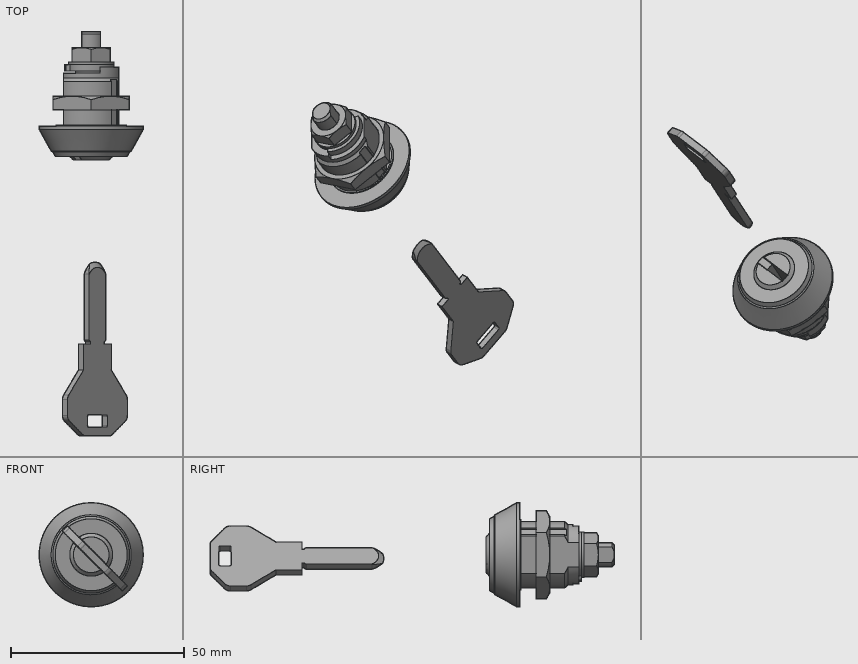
import cadquery as cq
import math

TURN = 45.0
HEX_HALF_ANGLE = 30.0

stud_end = 27.2
small_nut_top = 22.5
washer_top = 18.5
stop_top = 17.7
stop_bottom = 15.8
block_top = 17.0
barrel_top = 15.2
neck_start = 13.8
thread_end = 12.9
big_nut_bottom = 4.6
big_nut_top = 8.6
bead_top = 0.3
gasket_bottom = -0.9
bevel_back = -7.2
bevel_front = -7.4
flange_face = -8.7
plug_face = -9.8

rim_radius = 15.0
cone_end_radius = 11.5
bevel_radius = 11.0
face_radius = 10.3
bead_radius = 10.1
thread_radius = 19.2 / 2
neck_radius = 8.7
barrel_flat = 15.9 / 2
groove_width = 2.5
groove_floor = 9.1
block_side = 2.5

plug_radius = 6.2
plug_face_radius = 5.1
shaft_radius = 4.5
stud_radius = 3.5
stud_flat = 5.5 / 2
stud_chamfer = 0.7
keyhole_depth = 22.1
key_clearance = 0.1

washer_radius = 13.1 / 2
lug_radius = 7.7
lug_side = block_side
small_nut_flat = 11.0 / 2
big_nut_flat = 22.0 / 2
nut_chamfer_angle = 30.0

key_length = 50.0
key_gap = 29.3
key_offset = 1.5
key_thickness = 2.1
blade_half = 3.4
tip_half = 1.9
tip_length = 2.8
tip_fillet = 2.3
relief_half = 2.8
relief_start = 22.4
relief_full = 23.0
shoulder_start = 23.5
shoulder_half = 5.7
shoulder_end = 31.0
bow_half = 12.2
bow_start = 38.8
bow_end = 45.1
bow_base_half = 5.5
bow_fillet = 2.0
tip_edge_radius = 5.3
tip_face_radius = 3.8
ring_hole_start = 43.9
ring_hole_length = 3.5
ring_hole_width = 8.0
ring_hole_fillet = 0.5


def cylinder(radius, y_start, y_end):
    return cq.Workplane("XZ", origin=(0, y_start, 0)).circle(radius).extrude(y_start - y_end)


def block(x_range, y_range, z_range):
    """Box between the given limits."""
    corner = (x_range[0], y_range[0], z_range[0])
    size = (x_range[1] - x_range[0], y_range[1] - y_range[0], z_range[1] - z_range[0])
    return cq.Workplane("XY").box(*size, centered=False).translate(corner)


def turned(points):
    """Solid of revolution about Y from (radius, y) points."""
    return cq.Workplane("XY").polyline(points).close().revolve(360, (0, 0), (0, 1))


def roll(body, angle):
    return body.rotate((0, 0, 0), (0, 1, 0), angle)


def double_d(y_start, y_end):
    """Stud section: a cylinder with a flat on each X side."""
    flats = block((-stud_flat, stud_flat), (y_start, y_end), (-stud_radius, stud_radius))
    return cylinder(stud_radius, y_start, y_end).intersect(flats)


def hex_nut(flat, bore_radius, y_start, y_end):
    """Hex nut with flats facing X, chamfered on its +Y end."""
    corner = flat / math.cos(math.radians(HEX_HALF_ANGLE))
    chamfer_height = (corner - flat) * math.tan(math.radians(nut_chamfer_angle))
    prism = cq.Workplane("XZ", origin=(0, y_start, 0)).polygon(6, 2 * corner).extrude(y_start - y_end)
    envelope = turned([
        (0, y_start),
        (corner, y_start),
        (corner, y_end - chamfer_height),
        (flat, y_end),
        (0, y_end),
    ])
    nut = roll(prism, HEX_HALF_ANGLE).intersect(envelope)
    return nut.cut(cylinder(bore_radius, y_start, y_end))


def make_housing():
    """Conical flange and threaded barrel in one piece, bored for the plug."""
    body = turned([
        (0, flange_face),
        (face_radius, flange_face),
        (bevel_radius, bevel_front),
        (cone_end_radius, bevel_back),
        (rim_radius, gasket_bottom),
        (thread_radius, gasket_bottom),
        (thread_radius, thread_end),
        (neck_radius, neck_start),
        (neck_radius, block_top),
        (0, block_top),
    ])

    reach = thread_radius
    body = body.cut(block((-reach, block_side), (barrel_top, block_top), (-reach, reach)))

    for side in (0, 180):
        flat_cut = block((barrel_flat, rim_radius), (bead_top, block_top), (-reach, reach))
        groove = block((groove_floor, rim_radius), (bead_top, block_top),
                       (-groove_width / 2, groove_width / 2))
        body = body.cut(roll(flat_cut, side)).cut(roll(groove, side - TURN))

    body = body.cut(cylinder(plug_radius, flange_face, thread_end))
    body = body.cut(cylinder(shaft_radius, thread_end, block_top))
    return body.cut(cylinder(washer_radius, stop_bottom, block_top))


def make_gasket():
    """Flat seal behind the flange with a raised bead around the barrel."""
    ring = cylinder(rim_radius, gasket_bottom, 0).union(cylinder(bead_radius, 0, bead_top))
    return ring.cut(cylinder(thread_radius, gasket_bottom, bead_top))


def make_plug():
    """Lock plug with a keyhole in its raised face and a flatted stud at the back."""
    body = turned([
        (0, plug_face),
        (plug_face_radius, plug_face),
        (plug_radius, flange_face),
        (plug_radius, thread_end),
        (shaft_radius, thread_end),
        (shaft_radius, stop_bottom),
        (0, stop_bottom),
    ])
    stud = double_d(stop_bottom, stud_end).intersect(
        cylinder(stud_radius, stop_bottom, stud_end).faces(">Y").chamfer(stud_chamfer))
    body = body.union(stud)

    half_thickness = key_thickness / 2 + key_clearance
    half_width = blade_half + key_clearance
    keyhole_end = key_offset + half_width
    thickness_range = (-half_thickness, half_thickness)
    keyhole = block((key_offset - half_width, keyhole_end),
                    (plug_face, plug_face + keyhole_depth), thickness_range)
    face_slot = block((-plug_radius, keyhole_end), (plug_face, flange_face), thickness_range)
    return body.cut(roll(keyhole.union(face_slot), TURN))


def make_stop_disc():
    """Disc keyed on the stud, with a wider lug that turns against the stop block."""
    disc = cylinder(washer_radius, stop_bottom, stop_top)
    lug = cylinder(lug_radius, stop_bottom, stop_top).intersect(
        block((-lug_radius, lug_side), (stop_bottom, stop_top), (-lug_radius, lug_side)))
    return disc.union(lug).cut(double_d(stop_bottom, stop_top))


def make_washer():
    return cylinder(washer_radius, stop_top, washer_top).cut(cylinder(stud_radius, stop_top, washer_top))


def corners_between(y_start, y_end):
    """Selector for the key's edges centred within the given stretch of its length."""
    margin = 0.1
    return cq.selectors.BoxSelector(
        (-key_length, y_start - margin, -key_thickness), (key_length, y_end + margin, key_thickness))


def make_key():
    """Flat key, drawn with its tip at the origin and its bow toward -Y, then rolled into place."""
    half_outline = [
        (tip_half, 0),
        (blade_half, -tip_length),
        (blade_half, -relief_start),
        (relief_half, -relief_full),
        (relief_half, -shoulder_start),
        (shoulder_half, -shoulder_start),
        (shoulder_half, -shoulder_end),
        (bow_half, -bow_start),
        (bow_half, -bow_end),
        (bow_base_half, -key_length),
    ]
    mirrored = [(-x, y) for x, y in reversed(half_outline)]
    half_thickness = key_thickness / 2
    key = cq.Workplane("XY").polyline(half_outline + mirrored).close().extrude(half_thickness, both=True)

    key = key.edges("|Z").edges(corners_between(-key_length, -bow_start)).fillet(bow_fillet)
    key = key.edges("|Z").edges(corners_between(-tip_length, -tip_length)).fillet(tip_fillet)

    ring_hole = cq.Workplane("XY").center(0, -ring_hole_start - ring_hole_length / 2)
    ring_hole = ring_hole.rect(ring_hole_width, ring_hole_length).extrude(key_thickness, both=True)
    key = key.cut(ring_hole.edges("|Z").fillet(ring_hole_fillet))

    lens = (
        cq.Workplane("XZ")
        .polyline([
            (0, -half_thickness),
            (tip_face_radius, -half_thickness),
            (tip_edge_radius, 0),
            (tip_face_radius, half_thickness),
            (0, half_thickness),
        ])
        .close()
        .revolve(360, (0, 0), (0, 1))
        .translate((0, -tip_edge_radius, 0))
    )
    tip_waste = block((-blade_half, blade_half), (-tip_edge_radius, 0),
                      (-half_thickness, half_thickness)).cut(lens)
    key = key.cut(tip_waste)

    return roll(key.translate((key_offset, plug_face - key_gap, 0)), TURN)


housing = make_housing()
gasket = make_gasket()
plug = make_plug()
stop_disc = make_stop_disc()
washer = make_washer()
big_nut = hex_nut(big_nut_flat, thread_radius, big_nut_bottom, big_nut_top)
small_nut = hex_nut(small_nut_flat, stud_radius, washer_top, small_nut_top)
key = make_key()

bodies = [housing, gasket, plug, stop_disc, washer, big_nut, small_nut, key]
result = cq.Compound.makeCompound([body.solids().val() for body in bodies])